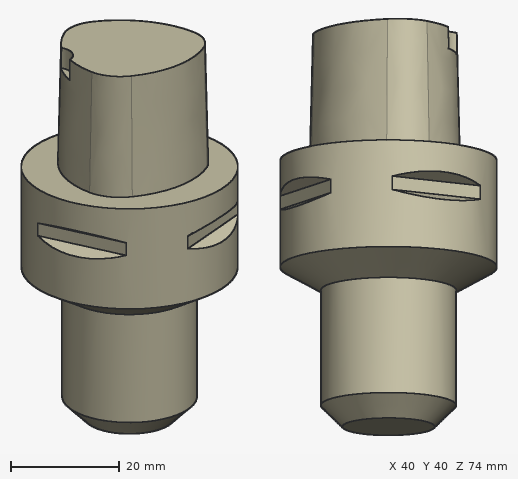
import cadquery as cq
import math

total_height = 74.0
flange_radius = 40.0 / 2
flange_top = 50.0
flange_thickness = 20.05
flange_bottom = flange_top - flange_thickness
shank_radius = 25.0 / 2
end_chamfer = 4.0
cone_slope = 30.0
cone_height = (flange_radius - shank_radius) * math.tan(math.radians(cone_slope))

lobe_offset = 6.65
lobe_radius = 8.15
lobe_inset = 0.6
polygon_height = total_height - flange_top
lobe_directions = [90.0, 210.0, 330.0]
lobe_spacing = 120.0
half_corner_angle = 30.0
side_radius = lobe_radius + math.sqrt(3) * lobe_offset

notch_radius = 4.0
notch_inner_y = -10.95
notch_depth = 4.1

groove_count = 4
groove_first_angle = 45.0
groove_center_z = 41.95
groove_floor_height = 2.5
groove_floor_distance = 17.7
groove_wall_slope = 30.0
groove_overrun = 0.75


def polar_point(radius, angle):
    return (radius * math.cos(math.radians(angle)), radius * math.sin(math.radians(angle)))


def lobe_point(direction, turn):
    """Point on a corner arc, turned away from the middle of its lobe."""
    center_x, center_y = polar_point(lobe_offset, direction)
    arm_x, arm_y = polar_point(lobe_radius, direction + turn)
    return (center_x + arm_x, center_y + arm_y)


def make_body():
    outline = [
        (0, 0),
        (shank_radius - end_chamfer, 0),
        (shank_radius, end_chamfer),
        (shank_radius, flange_bottom - cone_height),
        (flange_radius, flange_bottom),
        (flange_radius, flange_top),
        (0, flange_top),
    ]
    return cq.Workplane("XZ").polyline(outline).close().revolve(360, (0, 0), (0, 1))


def make_polygon():
    outline = cq.Workplane("XY", origin=(0, 0, flange_top))
    outline = outline.moveTo(*lobe_point(lobe_directions[0], -half_corner_angle))
    for direction in lobe_directions:
        corner_end = lobe_point(direction, half_corner_angle)
        outline = outline.threePointArc(lobe_point(direction, 0), corner_end)
        side_middle = polar_point(side_radius - lobe_offset, direction + lobe_spacing / 2)
        next_corner = lobe_point(direction + lobe_spacing, -half_corner_angle)
        outline = outline.threePointArc(side_middle, next_corner)
    taper = math.degrees(math.atan(lobe_inset / polygon_height))
    return outline.close().extrude(polygon_height, taper=taper)


def make_notch():
    return (
        cq.Workplane("XY", origin=(0, notch_inner_y - notch_radius, total_height))
        .circle(notch_radius)
        .extrude(-notch_depth)
    )


def make_groove(angle):
    """Trapezoidal straight groove that widens outward from its flat floor."""
    outer_x = flange_radius + groove_overrun
    half_floor = groove_floor_height / 2
    flare = (outer_x - groove_floor_distance) * math.tan(math.radians(groove_wall_slope))
    section = [
        (groove_floor_distance, -half_floor),
        (outer_x, -half_floor - flare),
        (outer_x, half_floor + flare),
        (groove_floor_distance, half_floor),
    ]
    groove = (
        cq.Workplane("XZ", origin=(0, 0, groove_center_z))
        .polyline(section)
        .close()
        .extrude(flange_radius, both=True)
    )
    return groove.rotate((0, 0, 0), (0, 0, 1), angle)


result = make_body().union(make_polygon()).cut(make_notch())
for index in range(groove_count):
    result = result.cut(make_groove(groove_first_angle + index * 360 / groove_count))